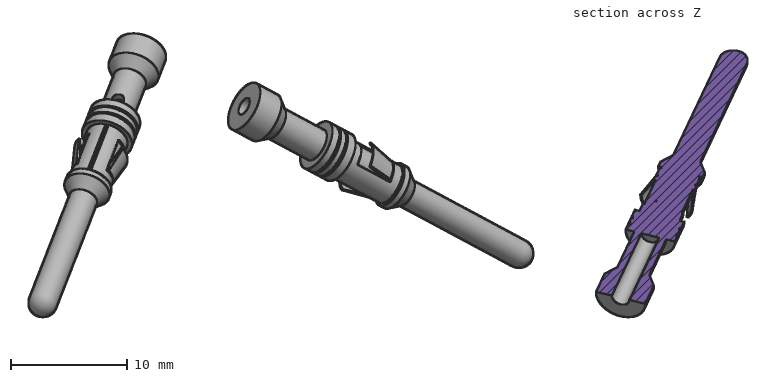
import cadquery as cq
import math

LENGTH = 31.3

PIN_RADIUS = 1.25
RING_RADIUS = 2.05
CORE_RADIUS = 1.72
FLANGE_RADIUS = 2.25
NECK_RADIUS = 1.47
COLLAR_RADIUS = FLANGE_RADIUS

PIN_END = 13.6
RING_START = 14.75
RING_END = 15.35
FLANGE_START = 20.88
FLANGE_END = 23.4
COLLAR_CONE_START = 27.85
COLLAR_START = 28.98

GROOVE_CENTRES = (21.82, 22.57)
GROOVE_WIDTH = 0.2
GROOVE_DEPTH = 0.13

SLEEVE_GAP = 0.1
SLEEVE_START = RING_END + SLEEVE_GAP
SLEEVE_RADIUS = 1.85
SLEEVE_WALL = SLEEVE_RADIUS - CORE_RADIUS

SLIT_WIDTH = 0.25
SLIT_FLOOR_WIDTH = 0.1
SLIT_DEPTH = 0.47

WINDOW_START = 16.37
WINDOW_END = 19.95
WINDOW_WIDTH = 2.57
BARB_GAP = 0.05
BARB_START = WINDOW_START + BARB_GAP
BARB_END = 19.03
BARB_SPAN = 4.8
BARB_TIP_RADIUS = BARB_SPAN / 2
BARB_ROOT_WIDTH = 2.25
BARB_TIP_WIDTH = 2.72

BORE_RADIUS = 0.78
BORE_BOTTOM = FLANGE_END
HOLE_Y = 24.3
HOLE_DIAMETER = 1.03


def tube(outer_radius, inner_radius, start, end):
    """Ring-shaped solid around the Y axis from start to end."""
    profile = cq.Workplane("XY").moveTo(inner_radius, start).lineTo(outer_radius, start)
    profile = profile.lineTo(outer_radius, end).lineTo(inner_radius, end).close()
    return profile.revolve(360, (0, 0), (0, 1))


def turned_body():
    """Solid of revolution: pin, ring, core, flange, neck and crimp collar."""
    dome_middle = PIN_RADIUS * math.sqrt(0.5)
    profile = (
        cq.Workplane("XY")
        .moveTo(0, 0)
        .threePointArc((dome_middle, PIN_RADIUS - dome_middle), (PIN_RADIUS, PIN_RADIUS))
        .lineTo(PIN_RADIUS, PIN_END)
        .lineTo(RING_RADIUS, RING_START)
        .lineTo(RING_RADIUS, RING_END)
        .lineTo(CORE_RADIUS, RING_END)
        .lineTo(CORE_RADIUS, FLANGE_START)
        .lineTo(FLANGE_RADIUS, FLANGE_START)
        .lineTo(FLANGE_RADIUS, FLANGE_END)
        .lineTo(NECK_RADIUS, FLANGE_END)
        .lineTo(NECK_RADIUS, COLLAR_CONE_START)
        .lineTo(COLLAR_RADIUS, COLLAR_START)
        .lineTo(COLLAR_RADIUS, LENGTH)
        .lineTo(0, LENGTH)
        .close()
    )
    body = profile.revolve(360, (0, 0), (0, 1))
    for centre in GROOVE_CENTRES:
        start = centre - GROOVE_WIDTH / 2
        end = centre + GROOVE_WIDTH / 2
        body = body.cut(tube(FLANGE_RADIUS + GROOVE_DEPTH, FLANGE_RADIUS - GROOVE_DEPTH, start, end))
    return body


def sleeve():
    """Thin sleeve around the core, opened by a window on each side."""
    shell = tube(SLEEVE_RADIUS, CORE_RADIUS, SLEEVE_START, FLANGE_START)
    reach = 2 * SLEEVE_RADIUS
    wall_angle = math.asin(WINDOW_WIDTH / 2 / SLEEVE_RADIUS)
    wedge_x = reach * math.cos(wall_angle)
    wedge_z = reach * math.sin(wall_angle)
    windows = (
        cq.Workplane("XZ", origin=(0, WINDOW_START, 0))
        .polyline([(0, 0), (wedge_x, -wedge_z), (wedge_x, wedge_z)])
        .close()
        .polyline([(0, 0), (-wedge_x, -wedge_z), (-wedge_x, wedge_z)])
        .close()
        .extrude(WINDOW_START - WINDOW_END)
    )
    return shell.cut(windows)


def slit():
    """Tapered slit running the full length of the sleeve."""
    floor_z = SLEEVE_RADIUS - SLIT_DEPTH
    return (
        cq.Workplane("XZ", origin=(0, SLEEVE_START, 0))
        .moveTo(-SLIT_FLOOR_WIDTH / 2, floor_z)
        .lineTo(SLIT_FLOOR_WIDTH / 2, floor_z)
        .lineTo(SLIT_WIDTH / 2, SLEEVE_RADIUS)
        .lineTo(-SLIT_WIDTH / 2, SLEEVE_RADIUS)
        .close()
        .extrude(SLEEVE_START - FLANGE_START)
    )


def barbs():
    """Two flared tongues, cut from one conical shell that widens toward the wire end."""
    root_inner_radius = CORE_RADIUS - SLEEVE_WALL
    cone_shell = (
        cq.Workplane("XY")
        .moveTo(root_inner_radius, BARB_START)
        .lineTo(SLEEVE_RADIUS, BARB_START)
        .lineTo(BARB_TIP_RADIUS, BARB_END)
        .lineTo(BARB_TIP_RADIUS - SLEEVE_WALL, BARB_END)
        .close()
        .revolve(360, (0, 0), (0, 1))
    )
    outline = (
        cq.Workplane("YZ")
        .moveTo(BARB_START, -BARB_ROOT_WIDTH / 2)
        .lineTo(BARB_END, -BARB_TIP_WIDTH / 2)
        .lineTo(BARB_END, BARB_TIP_WIDTH / 2)
        .lineTo(BARB_START, BARB_ROOT_WIDTH / 2)
        .close()
        .extrude(BARB_TIP_RADIUS, both=True)
    )
    return cone_shell.intersect(outline)


def wire_bore():
    """Blind bore from the wire end to the back of the flange."""
    end_face = cq.Workplane("XZ", origin=(0, LENGTH, 0))
    return end_face.circle(BORE_RADIUS).extrude(LENGTH - BORE_BOTTOM)


def inspection_hole():
    """Round hole through the top wall of the neck, into the wire bore."""
    return cq.Workplane("XY").center(0, HOLE_Y).circle(HOLE_DIAMETER / 2).extrude(NECK_RADIUS)


result = turned_body().union(sleeve()).cut(slit()).union(barbs())
result = result.cut(wire_bore()).cut(inspection_hole())